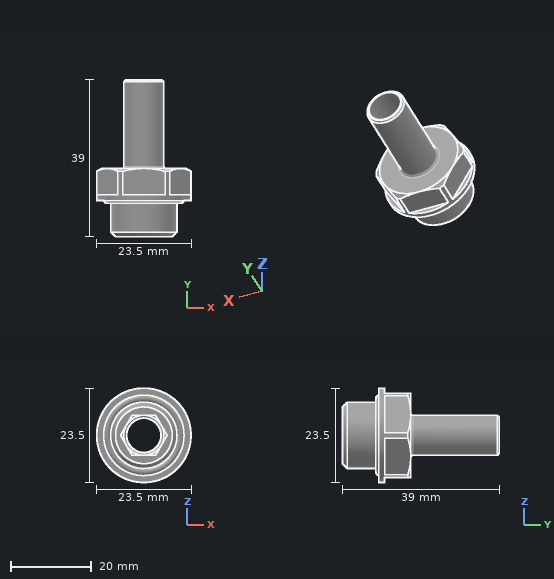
import cadquery as cq
import math


stud_length = 9.0
flange_thickness = 1.5
hex_length = 6.5
tube_length = 22.0

stud_diameter = 16.5
stud_chamfer = 1.2
flange_diameter = 23.5
tube_diameter = 10.0
tube_chamfer = 0.5
tube_foot_fillet = 0.5

hex_sides = 6
hex_across_flats = 21.0
hex_chamfer_angle = 30.0

socket_across_flats = 10.0
socket_depth = 8.0
socket_cone_half_angle = 60.0
bore_diameter = 8.5

ring_outer_diameter = 20.0
ring_protrusion = 0.7

stud_end = -stud_length
hex_start = flange_thickness
hex_end = hex_start + hex_length
tube_end = hex_end + tube_length
socket_floor = stud_end + socket_depth

stud_radius = stud_diameter / 2
flange_radius = flange_diameter / 2
tube_radius = tube_diameter / 2
bore_radius = bore_diameter / 2
ring_outer_radius = ring_outer_diameter / 2
ring_section_radius = (ring_outer_radius - stud_radius) / 2
ring_centre_radius = stud_radius + ring_section_radius
ring_centre_y = ring_section_radius - ring_protrusion
groove_depth = ring_centre_y + ring_section_radius


def revolve_about_y(profile):
    """Turn a closed profile of (radius, y) points about the Y axis."""
    return profile.close().revolve(360, (0, 0, 0), (0, 1, 0))


def hexagon_prism(across_flats, start, end):
    """Hexagonal prism along Y with two flats facing +Z and -Z."""
    across_corners = across_flats / math.cos(math.pi / hex_sides)
    plane = cq.Plane(origin=(0, start, 0), xDir=(1, 0, 0), normal=(0, 1, 0))
    return cq.Workplane(plane).polygon(hex_sides, across_corners).extrude(end - start)


def make_stud_and_flange():
    """Chamfered stud joined to the round flange, with the ring groove in the sealing face."""
    profile = (
        cq.Workplane("XY")
        .moveTo(0, stud_end)
        .lineTo(stud_radius - stud_chamfer, stud_end)
        .lineTo(stud_radius, stud_end + stud_chamfer)
        .lineTo(stud_radius, groove_depth)
        .lineTo(ring_outer_radius, groove_depth)
        .lineTo(ring_outer_radius, 0)
        .lineTo(flange_radius, 0)
        .lineTo(flange_radius, hex_start)
        .lineTo(0, hex_start)
    )
    return revolve_about_y(profile)


def make_hexagon():
    """Wrench hexagon with corners turned to the flange diameter and chamfered towards the tube."""
    face_radius = hex_across_flats / 2
    chamfer_height = (flange_radius - face_radius) * math.tan(math.radians(hex_chamfer_angle))
    envelope = (
        cq.Workplane("XY")
        .moveTo(0, hex_start)
        .lineTo(flange_radius, hex_start)
        .lineTo(flange_radius, hex_end - chamfer_height)
        .lineTo(face_radius, hex_end)
        .lineTo(0, hex_end)
    )
    return hexagon_prism(hex_across_flats, hex_start, hex_end).intersect(revolve_about_y(envelope))


def make_tube():
    """Plain tube end with a chamfered tip and a fillet at its foot; it starts inside the hexagon."""
    profile = (
        cq.Workplane("XY")
        .moveTo(0, hex_start)
        .lineTo(tube_radius + tube_foot_fillet, hex_start)
        .lineTo(tube_radius + tube_foot_fillet, hex_end)
        .radiusArc((tube_radius, hex_end + tube_foot_fillet), tube_foot_fillet)
        .lineTo(tube_radius, tube_end - tube_chamfer)
        .lineTo(tube_radius - tube_chamfer, tube_end)
        .lineTo(0, tube_end)
    )
    return revolve_about_y(profile)


def make_bore():
    """Through bore that opens in a cone to the width of the socket floor."""
    cone_radius = socket_across_flats / 2
    cone_length = (cone_radius - bore_radius) / math.tan(math.radians(socket_cone_half_angle))
    profile = (
        cq.Workplane("XY")
        .moveTo(0, socket_floor)
        .lineTo(cone_radius, socket_floor)
        .lineTo(bore_radius, socket_floor + cone_length)
        .lineTo(bore_radius, tube_end)
        .lineTo(0, tube_end)
    )
    return revolve_about_y(profile)


def make_fitting():
    """Fitting body: stud, flange, hexagon and tube with the socket and bore removed."""
    body = make_stud_and_flange().union(make_hexagon()).union(make_tube())
    socket = hexagon_prism(socket_across_flats, stud_end, socket_floor)
    return body.cut(socket).cut(make_bore())


def make_sealing_ring():
    """Round-section ring seated in the flange groove around the stud."""
    section = cq.Workplane("XY").center(ring_centre_radius, ring_centre_y).circle(ring_section_radius)
    axis_start = (-ring_centre_radius, 0, 0)
    axis_end = (-ring_centre_radius, 1, 0)
    return section.revolve(360, axis_start, axis_end)


fitting = make_fitting()
sealing_ring = make_sealing_ring()

result = cq.Compound.makeCompound([fitting.solids().val(), sealing_ring.val()])